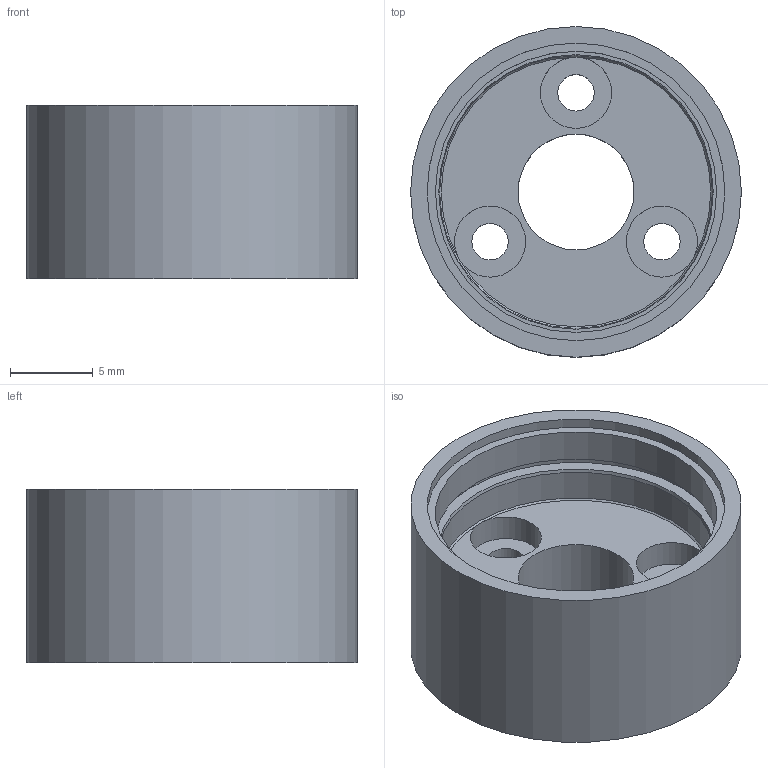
import cadquery as cq

outer_diameter = 20.0
height = 10.5

mouth_diameter = 18.0
mouth_depth = 0.6
upper_bore_diameter = 17.0
groove_top_depth = 2.6
groove_diameter = 18.0
shoulder_depth = 3.2
shoulder_diameter = 16.6
lead_in_depth = 3.4
lower_bore_diameter = 16.5
floor_chamfer = 0.1
floor_depth = 5.4

center_hole_diameter = 7.0
screw_hole_diameter = 2.2
counterbore_diameter = 4.3
counterbore_depth = 1.6
screw_circle_radius = 6.0
screw_count = 3
first_screw_angle = 90.0
full_turn = 360.0


def make_body():
    """Cup revolved from its half section: stepped bore, ring groove and chamfered floor."""
    section = [
        (center_hole_diameter / 2, 0),
        (outer_diameter / 2, 0),
        (outer_diameter / 2, height),
        (mouth_diameter / 2, height),
        (mouth_diameter / 2, height - mouth_depth),
        (upper_bore_diameter / 2, height - mouth_depth),
        (upper_bore_diameter / 2, height - groove_top_depth),
        (groove_diameter / 2, height - groove_top_depth),
        (groove_diameter / 2, height - shoulder_depth),
        (shoulder_diameter / 2, height - shoulder_depth),
        (lower_bore_diameter / 2, height - lead_in_depth),
        (lower_bore_diameter / 2, height - floor_depth + floor_chamfer),
        (lower_bore_diameter / 2 - floor_chamfer, height - floor_depth),
        (center_hole_diameter / 2, height - floor_depth),
    ]
    return cq.Workplane("XZ").polyline(section).close().revolve(full_turn, (0, 0), (0, 1))


def cut_screw_holes(body):
    """Ring of counterbored screw holes sunk from the floor."""
    floor_plane = cq.Workplane("XY", origin=(0, 0, height - floor_depth))
    return (
        body.copyWorkplane(floor_plane)
        .polarArray(screw_circle_radius, first_screw_angle, full_turn, screw_count)
        .cboreHole(screw_hole_diameter, counterbore_diameter, counterbore_depth)
    )


result = cut_screw_holes(make_body())